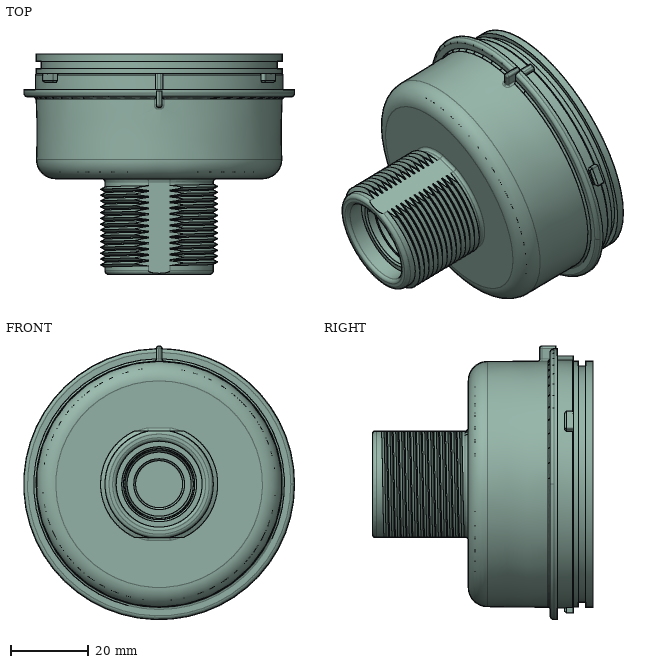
import cadquery as cq
import math


rim_radius = 31.85
groove_radius = 30.55
rim_depth = 1.9
cover_depth = 3.8

shell_front_radius = 31.7
shell_front_depth = 32.25
shell_corner_radius = 5.0
wall = 1.8
cavity_radius = rim_radius - wall
cavity_front_depth = shell_front_depth - wall

flange_radius = 35.0
flange_back_depth = 9.2
flange_front_depth = 11.1
flange_round = 1.0
flange_root_fillet = 0.6

tab_top = 35.7
tab_back_depth = 9.6
tab_front_depth = 13.8
tab_width = 1.5
tab_crown_round = 0.7
tab_end_round = 0.6
tab_root_fillet = 0.5

ring_radius = 32.05
ring_inner_radius = 31.1
ring_back_depth = 5.1
ring_edge_step = 0.2
ring_edge_length = 0.3
lug_outer_radius = 33.3
lug_front_depth = 7.4
lug_length = 5.4
lug_chamfer = 0.6
lug_edge_round = 0.2
lug_angles = (30, 150, 270)
rib_width = 1.9
rib_top = 33.2
rib_round = 0.6

neck_radius = 14.0
neck_end_depth = 57.0
neck_base_fillet = 0.85
neck_end_round = 1.05
flat_distance = 13.7

outer_thread_length = 21.0
outer_turns = 14
outer_pitch = outer_thread_length / outer_turns
outer_crest_radius = 15.15
outer_half_base = 0.615
outer_thread_start = 34.25
ridge_half_sweep = 88

counterbore_radius = 11.1
counterbore_round = 0.9
counterbore_floor_depth = 52.35
bore_chamfer = 0.5
bore_radius = 9.2
bore_taper_depth = 36.8
bore_floor_depth = 34.7
bore_floor_radius = 8.3
outlet_radius = 6.1
outlet_chamfer = 0.5

inner_pitch = 1.85
inner_crest_radius = 8.85
inner_half_base = 0.18
inner_thread_start = 37.5
inner_turns = 7.5

root_overlap = 0.15
margin = 0.1
axis_start = (0, 0)
axis_end = (0, 1)
y_axis = ((0, 0, 0), (0, 1, 0))


def revolved(outline):
    """Turn a closed (radius, -depth) outline about the Y axis."""
    return outline.close().revolve(360, axis_start, axis_end).rotate(*y_axis, -90)


def disc(radius, back_depth, front_depth):
    """A cylinder on the Y axis between two depths."""
    length = front_depth - back_depth
    return cq.Workplane("XZ", origin=(0, -back_depth, 0)).circle(radius).extrude(length)


def thread_ridge(root_radius, crest_radius, half_base, pitch, sweep_angle):
    """A right-handed V ridge about the Y axis that starts on the +X side at depth 0."""
    height = crest_radius - root_radius
    base_radius = root_radius - math.copysign(root_overlap, height)
    sunk_half_base = half_base * (1 + root_overlap / abs(height))
    path = cq.Wire.makeHelix(pitch, pitch * sweep_angle / 360, root_radius)
    ridge = (
        cq.Workplane("XZ")
        .moveTo(base_radius, -sunk_half_base)
        .lineTo(crest_radius, 0)
        .lineTo(base_radius, sunk_half_base)
        .close()
        .sweep(cq.Workplane(path), isFrenet=True)
    )
    return ridge.rotate((0, 0, 0), (1, 0, 0), 90)


def between_flats():
    """A slab that reaches from the lower neck flat to the upper one."""
    return cq.Workplane("XY").box(4 * neck_radius, 4 * neck_end_depth, 2 * flat_distance)


def make_outer_thread():
    """The ridges left on the +X and -X sides, where the two flats interrupt every turn."""
    ridge = thread_ridge(
        neck_radius, outer_crest_radius, outer_half_base, outer_pitch, 2 * ridge_half_sweep
    )
    ridge = ridge.rotate(*y_axis, ridge_half_sweep)
    ridge = ridge.translate((0, outer_pitch * ridge_half_sweep / 360, 0))
    right_ridge = ridge.intersect(between_flats())
    left_ridge = right_ridge.rotate(*y_axis, 180).translate((0, -outer_pitch / 2, 0))
    ridges = []
    for turn in range(outer_turns):
        shift = (0, -outer_thread_start - turn * outer_pitch, 0)
        ridges.append(right_ridge.translate(shift).val())
        ridges.append(left_ridge.translate(shift).val())
    return cq.Workplane(cq.Compound.makeCompound(ridges))


def make_inner_thread():
    """One continuous ridge on the wall of the bore."""
    ridge = thread_ridge(
        bore_radius, inner_crest_radius, inner_half_base, inner_pitch, 360 * inner_turns
    )
    return ridge.translate((0, -inner_thread_start, 0))


def make_shell():
    """The closed front of the housing: a drafted cup with a rounded front corner."""
    outer = revolved(
        cq.Workplane("XY")
        .moveTo(0, -cover_depth)
        .lineTo(rim_radius, -cover_depth)
        .lineTo(rim_radius, -flange_front_depth)
        .lineTo(shell_front_radius, -shell_front_depth)
        .lineTo(0, -shell_front_depth)
    )
    return outer.faces("<Y").edges().fillet(shell_corner_radius)


def make_flange():
    """The flange plate with its front rim rounded."""
    plate = disc(flange_radius, flange_back_depth, flange_front_depth)
    return plate.faces("<Y").edges().fillet(flange_round)


def make_flange_root():
    """The fillet ring in the corner between the front of the flange and the shell."""
    inside = rim_radius - wall / 2
    tip_depth = flange_front_depth + flange_root_fillet
    return revolved(
        cq.Workplane("XY")
        .moveTo(inside, -flange_front_depth)
        .lineTo(rim_radius + flange_root_fillet, -flange_front_depth)
        .radiusArc((rim_radius, -tip_depth), -flange_root_fillet)
        .lineTo(inside, -tip_depth)
    )


def make_tab():
    """The round-topped tab across the flange, with its foot sunk in the shell."""
    bottom = groove_radius
    tab = cq.Workplane("XY").box(
        tab_width, tab_front_depth - tab_back_depth, tab_top - bottom, centered=(True, False, False)
    )
    tab = tab.translate((0, -tab_front_depth, bottom))
    tab = tab.edges("|Y and >Z").fillet(tab_crown_round)
    return tab.faces("<Y").edges("not <Z").fillet(tab_end_round)


def make_neck():
    """The neck without its bore: round, with a flat on the top and on the bottom."""
    core = revolved(
        cq.Workplane("XY")
        .moveTo(0, -cavity_front_depth)
        .lineTo(neck_radius, -cavity_front_depth)
        .lineTo(neck_radius, -neck_end_depth + neck_end_round)
        .radiusArc((neck_radius - neck_end_round, -neck_end_depth), neck_end_round)
        .lineTo(0, -neck_end_depth)
    )
    return core.intersect(between_flats())


def make_bore():
    """Everything removed from the neck, down through the outlet."""
    return revolved(
        cq.Workplane("XY")
        .moveTo(0, -neck_end_depth)
        .lineTo(counterbore_radius + counterbore_round, -neck_end_depth)
        .radiusArc((counterbore_radius, -neck_end_depth + counterbore_round), counterbore_round)
        .lineTo(counterbore_radius, -counterbore_floor_depth)
        .lineTo(bore_radius + bore_chamfer, -counterbore_floor_depth)
        .lineTo(bore_radius, -counterbore_floor_depth + bore_chamfer)
        .lineTo(bore_radius, -bore_taper_depth)
        .lineTo(bore_floor_radius, -bore_floor_depth)
        .lineTo(outlet_radius + outlet_chamfer, -bore_floor_depth)
        .lineTo(outlet_radius, -bore_floor_depth + outlet_chamfer)
        .lineTo(outlet_radius, -cover_depth)
        .lineTo(0, -cover_depth)
    )


def box_between(low_corner, high_corner):
    """Selects the edges that lie wholly inside a box."""
    return cq.selectors.BoxSelector(low_corner, high_corner, boundingbox=True)


def make_cavity():
    return disc(cavity_radius, cover_depth, cavity_front_depth)


def make_ring_seat():
    """The groove around the housing that the locking ring fills."""
    outside = disc(flange_radius, ring_back_depth, flange_back_depth)
    return outside.cut(disc(ring_inner_radius, ring_back_depth, flange_back_depth))


def make_housing():
    body = make_shell().union(make_neck())
    neck_foot = box_between(
        (-neck_radius - margin, -shell_front_depth - margin, -neck_radius),
        (neck_radius + margin, -shell_front_depth + margin, neck_radius),
    )
    body = body.edges(neck_foot).fillet(neck_base_fillet)

    body = body.union(make_flange()).union(make_tab())
    tab_foot = box_between(
        (-tab_width, -tab_front_depth - margin, shell_front_radius - margin),
        (tab_width, -flange_front_depth, rim_radius + margin),
    )
    body = body.edges(tab_foot).fillet(tab_root_fillet).union(make_flange_root())

    body = body.cut(make_cavity()).cut(make_ring_seat()).cut(make_bore())
    return body.union(make_outer_thread()).union(make_inner_thread())


def make_lug(angle):
    """A lug at an angle from +X towards +Z, with its front edges chamfered."""
    depth = lug_front_depth - ring_back_depth
    lug = cq.Workplane("XY").box(
        lug_outer_radius - ring_inner_radius, depth, lug_length, centered=(False, False, True)
    )
    lug = lug.faces("<Y").edges("|X or >X").chamfer(lug_chamfer)
    lug = lug.faces(">X").edges("|Y").fillet(lug_edge_round)
    lug = lug.translate((ring_inner_radius, -lug_front_depth, 0))
    return lug.rotate(*y_axis, -angle)


def make_rib():
    """The stop rib on top of the locking ring, as long as the ring is wide."""
    rib = cq.Workplane("XY").box(
        rib_width,
        flange_back_depth - ring_back_depth,
        rib_top - ring_inner_radius,
        centered=(True, False, False),
    )
    rib = rib.edges("|Y and >Z").fillet(rib_round)
    return rib.translate((0, -flange_back_depth, ring_inner_radius))


def make_locking_ring():
    ring = disc(ring_radius, ring_back_depth, flange_back_depth)
    ring = ring.faces(">Y").edges().chamfer(ring_edge_length, ring_edge_step)
    ring = ring.union(make_rib())
    for angle in lug_angles:
        ring = ring.union(make_lug(angle))
    return ring.cut(disc(ring_inner_radius, 0, neck_end_depth))


def make_rear_cover():
    """The rear rim and the smaller step that forms the floor of the groove."""
    return disc(rim_radius, 0, rim_depth).union(disc(groove_radius, rim_depth, cover_depth))


def make_filter_pad():
    """The pad that fills the cavity and shows through the outlet."""
    return make_cavity()


housing = make_housing()
locking_ring = make_locking_ring()
rear_cover = make_rear_cover()
filter_pad = make_filter_pad()

result = cq.Compound.makeCompound(
    [housing.val(), locking_ring.val(), rear_cover.val(), filter_pad.val()]
)